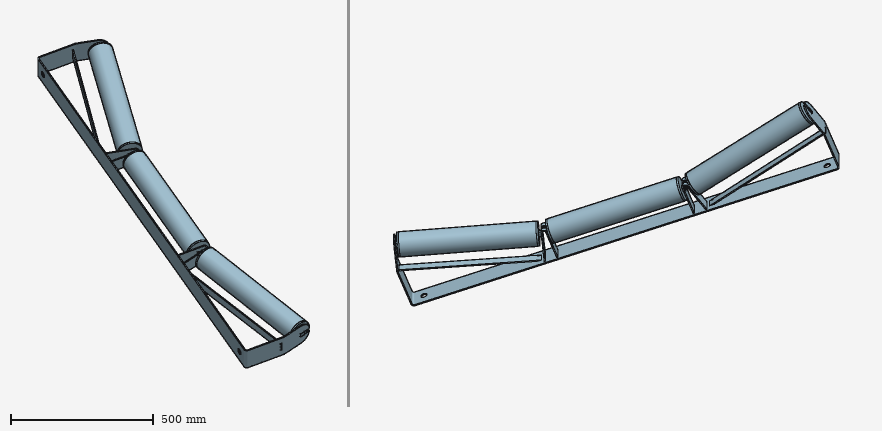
import cadquery as cq
import math


FRAME_LENGTH = 1600.0
TOP_Z = 96.0
STRIP_WIDTH = 86.0
THICKNESS = 5.0
TROUGH_ANGLE = 15.0

CORNER_RADIUS = 11.0
ARM_BEND_Y = 152.0
ARM_BEND_RADIUS = 22.0
ARM_TIP_Y = 269.0
HOLE_DIAMETER = 22.0
HOLE_INSET = 46.0

ROLLER_RADIUS = 45.0
BARREL_LENGTH = 496.0
CAP_STEP = 0.8
CAP_LENGTH = 6.0
SPINDLE_HEIGHT = 20.0
SPINDLE_PROUD = 2.0
SPINDLE_FLATS = 15.0
CENTRE_Y = 100.0
WING_X = 526.0
WING_Y = 168.0
WING_RISE = 6.0

BRACKET_X = 253.0
BRACKET_WIDTH = 51.0
CREST_Y = 125.0
CREST_WIDTH = 20.0
CREST_RADIUS = 10.0
BRACKET_ANGLE = 15.0

STAY_WIDTH = 34.0
STAY_THICKNESS = 5.0
STAY_ANGLE = 16.0
STAY_Y = 140.0
STAY_POKE = 0.3

HALF_LENGTH = FRAME_LENGTH / 2
LEAN = math.radians(TROUGH_ANGLE)
BRACKET_LEAN = math.radians(BRACKET_ANGLE)
STRIP_BOTTOM_Z = TOP_Z - STRIP_WIDTH
STRIP_MID_Z = TOP_Z - STRIP_WIDTH / 2
CENTRE_Z = ROLLER_RADIUS
WING_TILT = math.degrees(math.asin(WING_RISE / BARREL_LENGTH))
WING_REACH = (HALF_LENGTH - WING_X) * math.cos(LEAN) + (ARM_BEND_Y - WING_Y) * math.sin(LEAN)
SLOT_DEPTH = 160.0
SLOT_CLEARANCE = 16.0


def prism(points, width, mid_z):
    """Outline in XY, extruded to a width along Z that is centred on mid_z."""
    base = cq.Workplane("XY").workplane(offset=mid_z - width / 2)
    return base.polyline(points).close().extrude(width)


def on_side(body, side):
    """Keep a right-hand body (side 1) or mirror it to the left (side -1)."""
    return body if side > 0 else body.mirror("YZ")


def place_wing(body):
    """Move a body from the origin to the axis of the right wing roller."""
    tilted = body.rotate((0, 0, 0), (0, 1, 0), -WING_TILT)
    leaning = tilted.rotate((0, 0, 0), (0, 0, 1), TROUGH_ANGLE)
    return leaning.translate((WING_X, WING_Y, CENTRE_Z + WING_RISE / 2))


def place_centre(body):
    return body.translate((0, CENTRE_Y, CENTRE_Z))


def rod(radius, length):
    """Cylinder along X, centred on the origin."""
    return cq.Workplane("YZ").workplane(offset=-length / 2).circle(radius).extrude(length)


def make_roller(spindle_length):
    shell = rod(ROLLER_RADIUS, BARREL_LENGTH - 2 * CAP_LENGTH)
    barrel = shell.union(rod(ROLLER_RADIUS - CAP_STEP, BARREL_LENGTH))
    return barrel.union(cq.Workplane("XY").box(spindle_length, SPINDLE_HEIGHT, SPINDLE_FLATS))


def make_slot(spindle_length):
    """Space that a spindle and its way in from +Y take out of the strips."""
    return (
        cq.Workplane("XY")
        .box(spindle_length, SLOT_DEPTH, SPINDLE_FLATS)
        .translate((0, (SLOT_DEPTH - SPINDLE_HEIGHT) / 2, 0))
    )


def frame_outline(inset):
    """Trough-shaped area inside the frame's outer faces, moved inward by inset."""
    end_x = HALF_LENGTH - inset
    bend_y = ARM_BEND_Y - inset * math.tan(LEAN / 2)
    tip_x = end_x - (ARM_TIP_Y - bend_y) * math.tan(LEAN)
    right = [(end_x, inset), (end_x, bend_y), (tip_x, ARM_TIP_Y)]
    left = [(-x, y) for x, y in reversed(right)]
    area = prism(left + right, STRIP_WIDTH, STRIP_MID_Z)
    area = area.edges("|Z and <Y").fillet(CORNER_RADIUS - inset)
    return area.edges("|Z and (<X or >X)").edges(">Y").fillet(ARM_BEND_RADIUS - inset)


def make_frame():
    frame = frame_outline(0).cut(frame_outline(THICKNESS))
    tip_radius = STRIP_WIDTH / 2
    tip_height = tip_radius * math.cos(LEAN)
    side_outline = (
        cq.Workplane("YZ")
        .workplane(offset=-HALF_LENGTH)
        .moveTo(0, STRIP_BOTTOM_Z)
        .lineTo(ARM_TIP_Y - tip_height, STRIP_BOTTOM_Z)
        .ellipseArc(tip_height, tip_radius, -90, 90, startAtCurrent=True)
        .lineTo(0, TOP_Z)
        .close()
        .extrude(FRAME_LENGTH)
    )
    frame = frame.intersect(side_outline)
    hole_x = HALF_LENGTH - HOLE_INSET
    holes = (
        cq.Workplane("XZ")
        .pushPoints([(-hole_x, STRIP_MID_Z), (hole_x, STRIP_MID_Z)])
        .circle(HOLE_DIAMETER / 2)
        .extrude(-THICKNESS)
    )
    return frame.cut(holes)


def make_stay():
    """Right stay: a flat bar from the arm down to the base, trimmed flush at both ends."""
    length = STAY_Y / math.sin(math.radians(STAY_ANGLE))
    bar = (
        cq.Workplane("XY")
        .box(length, STAY_THICKNESS, STAY_WIDTH, centered=(False, False, True))
        .translate((-length, 0, 0))
        .rotate((0, 0, 0), (0, 0, 1), STAY_ANGLE)
        .translate((HALF_LENGTH + STAY_POKE, STAY_Y, STRIP_MID_Z))
    )
    room = cq.Workplane("XY").box(HALF_LENGTH, ARM_TIP_Y, TOP_Z, centered=False).translate((0, THICKNESS, 0))
    return bar.intersect(room)


def bracket_outline(inset):
    """Area under the folded strip, moved inward by inset."""
    crest_y = CREST_Y - inset
    start_x = BRACKET_X + inset
    end_x = BRACKET_X + CREST_WIDTH - inset * math.tan((math.pi / 2 - BRACKET_LEAN) / 2)
    foot_x = end_x + (crest_y - THICKNESS) * math.tan(BRACKET_LEAN)
    outline = [(start_x, THICKNESS), (start_x, crest_y), (end_x, crest_y), (foot_x, THICKNESS)]
    area = prism(outline, BRACKET_WIDTH, CENTRE_Z)
    return area.edges("|Z and >Y").fillet(CREST_RADIUS - inset)


def make_bracket():
    """Right bracket: an upright leg, a crest and a leaning leg, slotted for two spindles."""
    bracket = bracket_outline(0).cut(bracket_outline(THICKNESS))
    bracket = bracket.cut(place_centre(make_slot(2 * (BRACKET_X + CREST_WIDTH / 2))))
    return bracket.cut(place_wing(make_slot(2 * WING_REACH + SLOT_CLEARANCE)))


frame = make_frame()
wing_spindle_length = 2 * (WING_REACH + SPINDLE_PROUD)
stays = []
brackets = []
wing_rollers = []
for side in (-1, 1):
    stay = on_side(make_stay(), side)
    wing_slot = on_side(place_wing(make_slot(2 * WING_REACH + SLOT_CLEARANCE)), side)
    frame = frame.cut(stay).cut(wing_slot)
    stays.append(stay)
    brackets.append(on_side(make_bracket(), side))
    wing_rollers.append(on_side(place_wing(make_roller(wing_spindle_length)), side))

centre_roller = place_centre(make_roller(2 * (BRACKET_X + THICKNESS)))

bodies = [frame, *stays, *brackets, centre_roller, *wing_rollers]
result = cq.Compound.makeCompound([body.solids().val() for body in bodies])